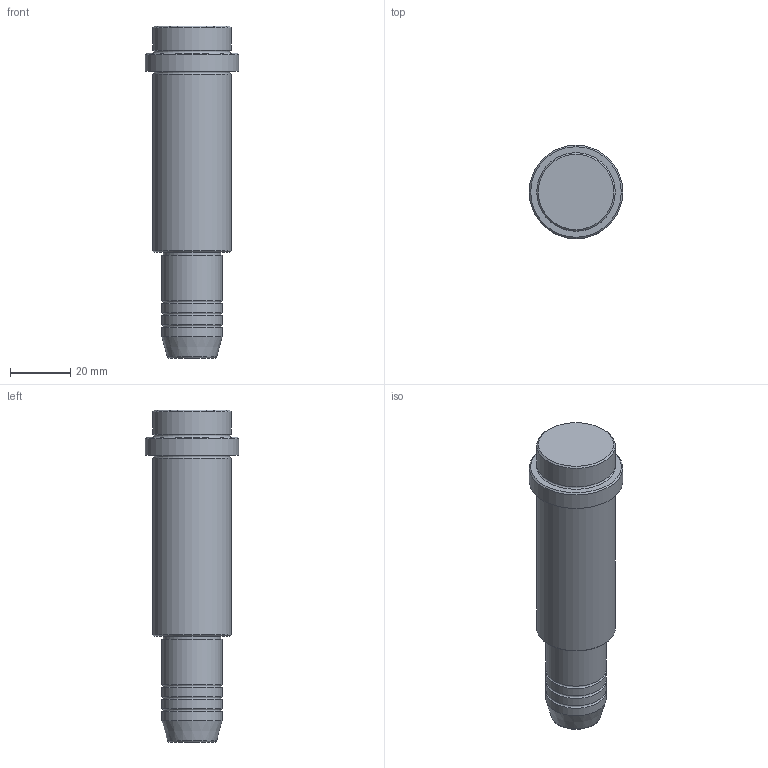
import cadquery as cq
import math

total_height = 110.0
head_height = 8.0
collar_height = 6.0
body_bottom_z = 35.0
tip_height = 7.0

collar_radius = 31.0 / 2
body_radius = 26.0 / 2
shank_radius = 20.0 / 2
tip_angle = 15.0
tip_radius = shank_radius - tip_height * math.tan(math.radians(tip_angle))

edge_chamfer = 0.5
tip_fillet = 0.5

groove_radius = 0.5
groove_width = 2 * groove_radius
shank_groove_count = 3
shank_groove_pitch = 4.0
lowest_shank_groove_z = 10.0

root_relief_width = 1.0
root_relief_depth = 0.5

collar_top_z = total_height - head_height - groove_width
collar_bottom_z = collar_top_z - collar_height


def revolve_about_z(profile):
    """Full turn of a closed XZ profile about the Z axis."""
    return profile.revolve(360, (0, 0, 0), (0, 1, 0))


def cylinder(radius, bottom_z, top_z):
    """Round section about the Z axis between two levels."""
    return cq.Workplane("XY").workplane(offset=bottom_z).circle(radius).extrude(top_z - bottom_z)


def cut_round_groove(part, section_radius, bottom_z):
    """Groove of half-round section, its open side flush with the section radius."""
    profile = (
        cq.Workplane("XZ")
        .moveTo(section_radius, bottom_z)
        .threePointArc(
            (section_radius - groove_radius, bottom_z + groove_radius),
            (section_radius, bottom_z + groove_width),
        )
        .close()
    )
    return part.cut(revolve_about_z(profile))


def make_body():
    """Main cylinder and head, with chamfered ends and a groove on each side of the collar."""
    body = cylinder(body_radius, body_bottom_z, total_height)
    body = body.faces("<Z or >Z").chamfer(edge_chamfer)
    for groove_z in (collar_top_z, collar_bottom_z - groove_width):
        body = cut_round_groove(body, body_radius, groove_z)
    return body


def make_collar():
    """Locating collar with a chamfered upper edge."""
    return cylinder(collar_radius, collar_bottom_z, collar_top_z).faces(">Z").chamfer(edge_chamfer)


def make_shank():
    """Lower spigot with a conical tip, a relief at the root and half-round grooves."""
    relief_bottom_z = body_bottom_z - root_relief_width
    relief_radius = shank_radius - root_relief_depth
    profile = (
        cq.Workplane("XZ")
        .lineTo(tip_radius, 0)
        .lineTo(shank_radius, tip_height)
        .lineTo(shank_radius, relief_bottom_z)
        .lineTo(relief_radius, relief_bottom_z)
        .lineTo(relief_radius, body_bottom_z)
        .lineTo(0, body_bottom_z)
        .close()
    )
    shank = revolve_about_z(profile).faces("<Z").fillet(tip_fillet)
    for index in range(shank_groove_count):
        groove_z = lowest_shank_groove_z + index * shank_groove_pitch
        shank = cut_round_groove(shank, shank_radius, groove_z)
    return shank


result = make_body().union(make_collar()).union(make_shank())